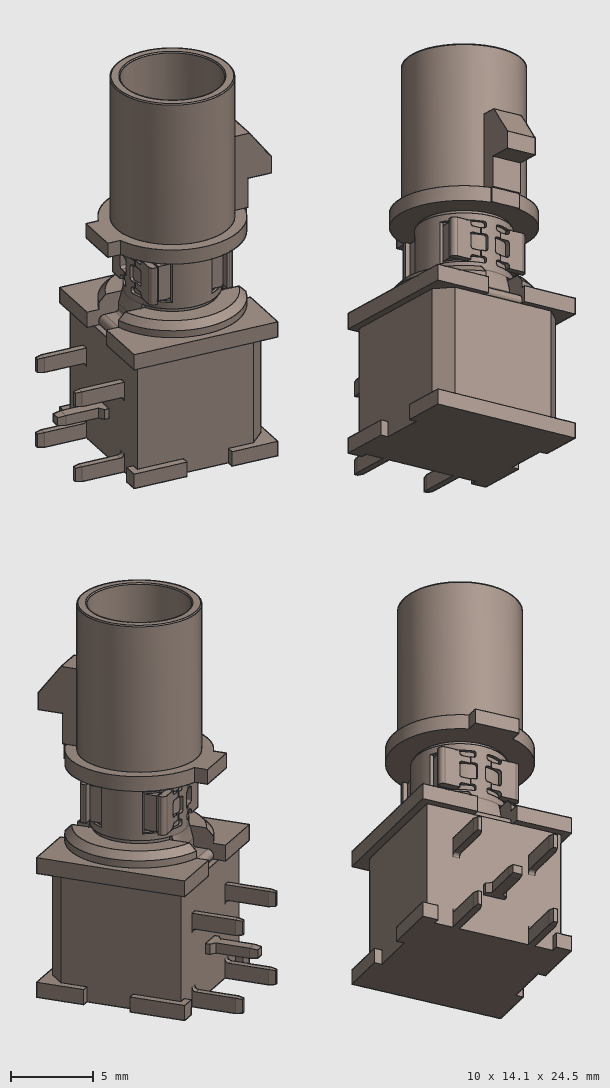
import cadquery as cq
import math


BODY_WIDTH = 9.0
BODY_FRONT = -4.63
BODY_BACK = 4.22
BACK_CHAMFER = 1.0
PLATE_WIDTH = 10.0
PLATE_FRONT = -5.1
PLATE_BACK = 4.6
PLATE_BOTTOM = 8.05
PLATE_TOP = 9.07

FOOT_HEIGHT = 0.98
FOOT_DEPTH_X = 1.03
FOOT_GAP = 3.05

COLLAR_RADIUS = BODY_WIDTH / 2
COLLAR_TOP = 10.0
COLLAR_CHAMFER_RUN = 0.45
COLLAR_CHAMFER_DROP = 0.47

NECK_RADIUS = 3.0
NECK_BOTTOM = 10.25
NECK_TOP = 13.83
NECK_MIDDLE = (NECK_BOTTOM + NECK_TOP) / 2
GROOVE_RADIUS = 2.85

FLANGE_BOTTOM = 14.05
FLANGE_TOP = 15.0
FLANGE_RADIUS = COLLAR_RADIUS
TAB_WIDTH = 2.95
BARREL_RADIUS = 3.78
BARREL_TOP = 24.52
BORE_RADIUS = 3.16
RIM_CHAMFER = 0.07

LATCH_WIDTH = 2.0
LATCH_TIP = 6.2
LATCH_RIDGE = 4.7
HOOK_BOTTOM = 16.97
SLOPE_BOTTOM = 18.07
LATCH_TOP = 20.0

KEYWAY_WIDTH = 2.62
KEYWAY_WALL = NECK_RADIUS
KEYWAY_WALL_TOP = 9.2
KEYWAY_FLOOR = 8.65
KEYWAY_FLOOR_FILLET = 0.17
KEYWAY_LIP_RADIUS = 0.4
KEYWAY_LIP_START = 3.92
KEYWAY_FOOT_BACK = 2.45

WINDOW_HEIGHT = 2.7
RECESS_RADIUS = 2.8
ARM_HEIGHT = 2.5
ARM_START = 0.69
ARM_END = 2.67
ARM_FACE = 2.82
ARM_BACK = 2.35
ARM_EDGE_RADIUS = 0.3
WINDOW_EDGE = 1.35
PANEL_HEIGHT = 2.33
PANEL_FACE = 2.45
PANEL_ROOT = 1.72
PANEL_END = 2.18
RELIEF_OUTER = 1.4
RELIEF_RADIUS = 0.17
SQUARE_INNER = 0.27
SQUARE_HEIGHT = 1.08
SLOT_INNER = 0.37
SLOT_HEIGHT = 0.42

PIN_TIP = -7.9
PIN_ROOT = -3.68
SIDE_PIN_SPACING = 5.08
SIDE_PIN_WIDTH = 0.45
SIDE_PIN_HEIGHT = 1.0
SIDE_TIP_WIDTH = 0.25
SIDE_TIP_HEIGHT = 0.9
SIDE_TIP_LENGTH = 0.42
UPPER_PIN_BOTTOM = 5.08
ROOT_FILLET = 0.25
CENTER_PIN_WIDTH = 0.74
CENTER_PIN_HEIGHT = 0.65
CENTER_PIN_BOTTOM = 2.7
CENTER_TIP_WIDTH = 0.61
CENTER_TIP_HEIGHT = 0.55
CENTER_TIP_LENGTH = 0.51
BARB_WIDTH = 1.42
BARB_STRAIGHT_END = -4.93
BARB_TAPER_END = -5.17


def block(x0, x1, y0, y1, z0, z1):
    """Axis-aligned block between two opposite corners."""
    return cq.Workplane("XY").box(x1 - x0, y1 - y0, z1 - z0, centered=False).translate((x0, y0, z0))


def centered_block(width, y0, y1, z0, z1):
    return block(-width / 2, width / 2, y0, y1, z0, z1)


def disc(radius, z0, z1):
    return cq.Workplane("XY").workplane(offset=z0).circle(radius).extrude(z1 - z0)


def front_and_back(shape):
    """The shape on the -Y side together with its mirror image."""
    return shape.union(shape.mirror("XZ"))


def four_corners(shape):
    """The shape in the +X -Y corner together with its three mirror images."""
    return front_and_back(shape.union(shape.mirror("YZ")))


def make_housing():
    body = centered_block(BODY_WIDTH, BODY_FRONT, BODY_BACK, 0, PLATE_BOTTOM)
    body = body.edges("|Z and >Y").chamfer(BACK_CHAMFER)
    plate = centered_block(PLATE_WIDTH, PLATE_FRONT, PLATE_BACK, PLATE_BOTTOM, PLATE_TOP)
    housing = body.union(plate)
    back_bar = centered_block(PLATE_WIDTH, BODY_BACK - BACK_CHAMFER, PLATE_BACK, 0, FOOT_HEIGHT)
    housing = housing.union(back_bar)
    outer = PLATE_WIDTH / 2
    for y0, y1 in ((PLATE_FRONT, -FOOT_GAP / 2), (FOOT_GAP / 2, PLATE_BACK)):
        foot = block(outer - FOOT_DEPTH_X, outer, y0, y1, 0, FOOT_HEIGHT)
        housing = housing.union(foot).union(foot.mirror("YZ"))
    return housing


def make_keyway():
    """Cutter for the front keyway, with a filleted floor that ends in an overhanging round lip."""
    fillet = KEYWAY_FLOOR_FILLET
    lip_center = KEYWAY_FLOOR - KEYWAY_LIP_RADIUS
    lip_reach = math.sqrt(KEYWAY_LIP_RADIUS**2 - (lip_center - PLATE_BOTTOM) ** 2)
    return (
        cq.Workplane("YZ")
        .moveTo(-KEYWAY_FOOT_BACK, NECK_BOTTOM)
        .lineTo(-KEYWAY_FOOT_BACK, KEYWAY_WALL_TOP)
        .lineTo(-KEYWAY_WALL, KEYWAY_WALL_TOP)
        .lineTo(-KEYWAY_WALL, KEYWAY_FLOOR + fillet)
        .radiusArc((-KEYWAY_WALL - fillet, KEYWAY_FLOOR), fillet)
        .lineTo(-KEYWAY_LIP_START, KEYWAY_FLOOR)
        .threePointArc(
            (-KEYWAY_LIP_START - KEYWAY_LIP_RADIUS, lip_center),
            (-KEYWAY_LIP_START - lip_reach, PLATE_BOTTOM),
        )
        .lineTo(PLATE_FRONT, PLATE_BOTTOM)
        .lineTo(PLATE_FRONT, NECK_BOTTOM)
        .close()
        .extrude(KEYWAY_WIDTH / 2, both=True)
    )


def make_keyway_foot():
    """Front foot of the neck in the keyway: flat at the bottom, blending into the round neck above."""
    half = KEYWAY_WIDTH / 2
    neck_edge = math.sqrt(NECK_RADIUS**2 - half**2)
    return (
        cq.Workplane("XY")
        .workplane(offset=KEYWAY_WALL_TOP)
        .moveTo(-half, -KEYWAY_WALL)
        .lineTo(half, -KEYWAY_WALL)
        .lineTo(half, -KEYWAY_FOOT_BACK)
        .lineTo(-half, -KEYWAY_FOOT_BACK)
        .close()
        .workplane(offset=NECK_BOTTOM - KEYWAY_WALL_TOP)
        .moveTo(-half, -neck_edge)
        .threePointArc((0, -NECK_RADIUS), (half, -neck_edge))
        .lineTo(half, -KEYWAY_FOOT_BACK)
        .lineTo(-half, -KEYWAY_FOOT_BACK)
        .close()
        .loft(ruled=True)
    )


def make_turned_body():
    """Collar, grooved neck, flange and bored barrel."""
    turned = (
        cq.Workplane("XZ")
        .moveTo(0, PLATE_BOTTOM)
        .lineTo(COLLAR_RADIUS, PLATE_BOTTOM)
        .lineTo(COLLAR_RADIUS, COLLAR_TOP - COLLAR_CHAMFER_DROP)
        .lineTo(COLLAR_RADIUS - COLLAR_CHAMFER_RUN, COLLAR_TOP)
        .lineTo(GROOVE_RADIUS, COLLAR_TOP)
        .lineTo(GROOVE_RADIUS, NECK_BOTTOM)
        .lineTo(NECK_RADIUS, NECK_BOTTOM)
        .lineTo(NECK_RADIUS, NECK_TOP)
        .lineTo(GROOVE_RADIUS, NECK_TOP)
        .lineTo(GROOVE_RADIUS, FLANGE_BOTTOM)
        .lineTo(FLANGE_RADIUS, FLANGE_BOTTOM)
        .lineTo(FLANGE_RADIUS, FLANGE_TOP)
        .lineTo(BARREL_RADIUS, FLANGE_TOP)
        .lineTo(BARREL_RADIUS, BARREL_TOP - RIM_CHAMFER)
        .lineTo(BARREL_RADIUS - RIM_CHAMFER, BARREL_TOP)
        .lineTo(BORE_RADIUS + RIM_CHAMFER, BARREL_TOP)
        .lineTo(BORE_RADIUS, BARREL_TOP - RIM_CHAMFER)
        .lineTo(BORE_RADIUS, FLANGE_TOP)
        .lineTo(0, FLANGE_TOP)
        .close()
        .revolve(360, (0, 0, 0), (0, 1, 0))
    )
    tab = centered_block(TAB_WIDTH, PLATE_FRONT, -BARREL_RADIUS, FLANGE_BOTTOM, FLANGE_TOP)
    return turned.union(tab)


def make_latch():
    root = (BORE_RADIUS + BARREL_RADIUS) / 2
    return (
        cq.Workplane("YZ")
        .moveTo(root, FLANGE_BOTTOM)
        .lineTo(FLANGE_RADIUS, FLANGE_BOTTOM)
        .lineTo(FLANGE_RADIUS, FLANGE_TOP)
        .lineTo(PLATE_BACK, FLANGE_TOP)
        .lineTo(PLATE_BACK, HOOK_BOTTOM)
        .lineTo(LATCH_TIP, HOOK_BOTTOM)
        .lineTo(LATCH_TIP, SLOPE_BOTTOM)
        .lineTo(LATCH_RIDGE, LATCH_TOP)
        .lineTo(root, LATCH_TOP)
        .close()
        .extrude(LATCH_WIDTH / 2, both=True)
        .cut(disc(root, FLANGE_BOTTOM, LATCH_TOP))
    )


def make_window():
    """Cutter for one neck window, leaving a smaller cylinder as its floor."""
    bottom = NECK_MIDDLE - WINDOW_HEIGHT / 2
    top = NECK_MIDDLE + WINDOW_HEIGHT / 2
    window = block(ARM_START, NECK_RADIUS, -NECK_RADIUS, -WINDOW_EDGE, bottom, top)
    return window.cut(disc(RECESS_RADIUS, bottom, top))


def make_side_panel():
    """Flat panel facing sideways, set behind the spring arm."""
    half = PANEL_HEIGHT / 2
    return block(PANEL_ROOT, PANEL_FACE, -PANEL_END, -WINDOW_EDGE, NECK_MIDDLE - half, NECK_MIDDLE + half)


def make_arm():
    """Flat-faced spring arm with a rounded outer edge."""
    bottom = NECK_MIDDLE - ARM_HEIGHT / 2
    top = NECK_MIDDLE + ARM_HEIGHT / 2
    arm = block(ARM_START, ARM_END, -ARM_FACE, -ARM_BACK, bottom, top)
    return arm.edges("|Z and >X and <Y").fillet(ARM_EDGE_RADIUS)


def make_reliefs():
    """Cutter for the square relief and the two slots at the inner end of an arm."""
    slot_offset = (WINDOW_HEIGHT - SLOT_HEIGHT) / 2
    openings = (
        (SQUARE_INNER, SQUARE_HEIGHT, 0),
        (SLOT_INNER, SLOT_HEIGHT, slot_offset),
        (SLOT_INNER, SLOT_HEIGHT, -slot_offset),
    )
    cutter = cq.Workplane("XY")
    for inner, height, offset in openings:
        z0 = NECK_MIDDLE + offset - height / 2
        opening = block(inner, RELIEF_OUTER, -NECK_RADIUS, -ARM_BACK, z0, z0 + height)
        cutter = cutter.add(opening.edges("|Y").fillet(RELIEF_RADIUS))
    return cutter.combine().cut(disc(RECESS_RADIUS, NECK_BOTTOM, NECK_TOP))


def make_pin(width, height, tip_width, tip_height, tip_length, bottom):
    """Bar along -Y at x = 0 with a four-sided tapered tip."""
    shoulder = PIN_TIP + tip_length
    middle = bottom + height / 2
    bar = centered_block(width, shoulder, PIN_ROOT, bottom, bottom + height)
    tip = (
        cq.Workplane("XZ", origin=(0, shoulder, middle))
        .rect(width, height)
        .workplane(offset=tip_length)
        .rect(tip_width, tip_height)
        .loft(ruled=True)
    )
    return bar.union(tip)


def make_root_fillet(z, direction):
    """Concave web between the body front and the pin edge at height z."""
    return (
        cq.Workplane("YZ")
        .moveTo(BODY_FRONT, z)
        .lineTo(BODY_FRONT, z + direction * ROOT_FILLET)
        .radiusArc((BODY_FRONT - ROOT_FILLET, z), direction * ROOT_FILLET)
        .close()
        .extrude(SIDE_PIN_WIDTH / 2, both=True)
    )


def make_side_pins():
    """Two upper and two lower pins."""
    pins = cq.Workplane("XY")
    for bottom, web_height, direction in ((UPPER_PIN_BOTTOM, 0, -1), (0, SIDE_PIN_HEIGHT, 1)):
        pin = make_pin(
            SIDE_PIN_WIDTH, SIDE_PIN_HEIGHT, SIDE_TIP_WIDTH, SIDE_TIP_HEIGHT, SIDE_TIP_LENGTH, bottom
        )
        pin = pin.union(make_root_fillet(bottom + web_height, direction))
        for side in (-1, 1):
            pins = pins.add(pin.translate((side * SIDE_PIN_SPACING / 2, 0, 0)))
    return pins.combine()


def make_center_pin():
    """Signal pin with a tapered barb at its root."""
    pin = make_pin(
        CENTER_PIN_WIDTH,
        CENTER_PIN_HEIGHT,
        CENTER_TIP_WIDTH,
        CENTER_TIP_HEIGHT,
        CENTER_TIP_LENGTH,
        CENTER_PIN_BOTTOM,
    )
    barb = (
        cq.Workplane("XY", origin=(0, 0, CENTER_PIN_BOTTOM))
        .moveTo(-BARB_WIDTH / 2, BODY_FRONT)
        .lineTo(-BARB_WIDTH / 2, BARB_STRAIGHT_END)
        .lineTo(-CENTER_PIN_WIDTH / 2, BARB_TAPER_END)
        .lineTo(CENTER_PIN_WIDTH / 2, BARB_TAPER_END)
        .lineTo(BARB_WIDTH / 2, BARB_STRAIGHT_END)
        .lineTo(BARB_WIDTH / 2, BODY_FRONT)
        .close()
        .extrude(CENTER_PIN_HEIGHT)
    )
    return pin.union(barb)


result = make_turned_body().cut(four_corners(make_window()))
result = result.union(four_corners(make_side_panel())).union(four_corners(make_arm()))
result = result.cut(four_corners(make_reliefs())).union(make_housing())
result = result.cut(front_and_back(make_keyway())).union(front_and_back(make_keyway_foot()))
result = result.union(make_latch()).union(make_side_pins()).union(make_center_pin())